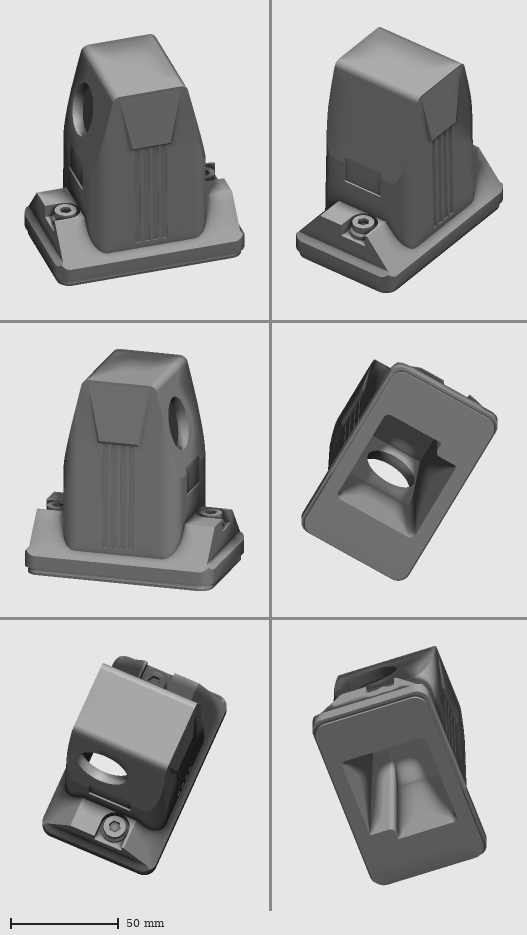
import cadquery as cq
import math

HEIGHT = 96.8
BASE_WIDTH = 57.0
BASE_LENGTH = 92.0

SEAL_HEIGHT = 3.4
SEAL_RIM_HEIGHT = 1.2
SEAL_INSET = 1.2
SEAL_TAPER = 25.0

BASE_TOP_Z = 27.4
BASE_TOP_HALF_WIDTH = 13.6
SLOPE_FOOT_Z = 9.6
CHAMFER_FOOT_Z = 10.0
END_CHAMFER = 2.7
BASE_CORNER_RADIUS = 6.0

HOOD_TOP_HALF_WIDTH = 23.9
SIDE_DRAFT = 1.1
HOOD_HALF_LENGTH = 28.75
LEAN_START_Z = 50.9
LEAN_ANGLE = 13.6
HOOD_CORNER_RADIUS = 7.8
HOOD_TOP_RADIUS = 3.7
WALL = 5.1
CAVITY_CORNER_RADIUS = HOOD_CORNER_RADIUS - WALL

ENTRY_DIAMETER = 25.1
ENTRY_X = -6.0
ENTRY_Z = 73.7

PILLAR_EDGE_X = -8.9
PILLAR_FACE_Y = 17.4
PILLAR_RADIUS = 2.3

LABEL_WIDTH = 21.2
LABEL_BOTTOM_Z = 40.2
LABEL_TOP_Z = 53.5
LABEL_FLOOR_Y = 27.9

GRIP_TOP_Z = 95.5
GRIP_BOTTOM_Z = 66.7
GRIP_TOP_HALF_LENGTH = 15.2
GRIP_BOTTOM_HALF_LENGTH = 10.3
GRIP_DEPTH = 1.5

GROOVE_COUNT = 4
GROOVE_PITCH = 4.3
GROOVE_WIDTH = 2.7
GROOVE_BOTTOM_Z = 16.3
GROOVE_DEPTH = 0.4

SCREW_X = 5.5
SCREW_Y = -35.4
POCKET_FLOOR_Z = 21.3
POCKET_WIDTH = 13.7
WASHER_DIAMETER = 12.2
WASHER_TOP_Z = 24.4
HEAD_DIAMETER = 10.3
WASHER_CHAMFER = (WASHER_DIAMETER - HEAD_DIAMETER) / 2
HEAD_TOP_Z = 27.8
HEX_ACROSS_FLATS = 5.0
HEX_DEPTH = 2.9


def side_x(z):
    """Half-width of the hood at height z."""
    return HOOD_TOP_HALF_WIDTH + (HEIGHT - z) * math.tan(math.radians(SIDE_DRAFT))


def lean_y(z):
    """Half-length of the hood at height z on its leaning part."""
    return HOOD_HALF_LENGTH - (z - LEAN_START_Z) * math.tan(math.radians(LEAN_ANGLE))


def symmetric_prism(plane, half_points, half_depth):
    """Extrude an outline, given by its positive half from bottom to top, to both sides."""
    mirrored = [(-u, v) for u, v in reversed(half_points)]
    return cq.Workplane(plane).polyline(half_points + mirrored).close().extrude(half_depth, both=True)


def make_seal():
    width = BASE_WIDTH - 2 * SEAL_INSET
    length = BASE_LENGTH - 2 * SEAL_INSET
    rim = cq.Workplane().rect(width, length).extrude(SEAL_RIM_HEIGHT)
    rim = rim.edges("|Z").fillet(BASE_CORNER_RADIUS)
    return rim.faces(">Z").wires().toPending().extrude(SEAL_HEIGHT - SEAL_RIM_HEIGHT, taper=SEAL_TAPER)


def make_base():
    block = (
        cq.Workplane()
        .workplane(offset=SEAL_HEIGHT)
        .rect(BASE_WIDTH, BASE_LENGTH)
        .extrude(BASE_TOP_Z - SEAL_HEIGHT)
        .edges("|Z")
        .fillet(BASE_CORNER_RADIUS)
    )
    half_width = BASE_WIDTH / 2
    half_length = BASE_LENGTH / 2
    cross_section = [
        (half_width, SEAL_HEIGHT),
        (half_width, SLOPE_FOOT_Z),
        (BASE_TOP_HALF_WIDTH, BASE_TOP_Z),
    ]
    long_section = [
        (half_length, SEAL_HEIGHT),
        (half_length, CHAMFER_FOOT_Z),
        (half_length - END_CHAMFER, CHAMFER_FOOT_Z + END_CHAMFER),
        (half_length - END_CHAMFER, BASE_TOP_Z),
    ]
    block = block.intersect(symmetric_prism("XZ", cross_section, half_length))
    return block.intersect(symmetric_prism("YZ", long_section, half_width))


def make_hood_form(inset, corner_radius, bottom_z):
    """Hood outline moved inwards by inset, running down to bottom_z."""
    top_z = HEIGHT - inset
    lean_inset = inset / math.cos(math.radians(LEAN_ANGLE))
    knee_z = LEAN_START_Z - inset * math.tan(math.radians(LEAN_ANGLE / 2))
    half_length = HOOD_HALF_LENGTH - inset
    cross_section = [(side_x(bottom_z) - inset, bottom_z), (side_x(top_z) - inset, top_z)]
    form = symmetric_prism("XZ", cross_section, half_length)
    form = form.edges("not(|X or |Y)").fillet(corner_radius)
    long_section = [
        (half_length, bottom_z),
        (half_length, knee_z),
        (lean_y(top_z) - lean_inset, top_z),
    ]
    return form.intersect(symmetric_prism("YZ", long_section, BASE_WIDTH))


def make_hood():
    hood = make_hood_form(0, HOOD_CORNER_RADIUS, SLOPE_FOOT_Z)
    return hood.faces(">Z").edges("|X").fillet(HOOD_TOP_RADIUS)


def make_cavity():
    """Inner space, open at the bottom, less the pillar that stands in it."""
    cavity = make_hood_form(WALL, CAVITY_CORNER_RADIUS, 0)
    pillar = (
        cq.Workplane()
        .moveTo(PILLAR_EDGE_X, PILLAR_FACE_Y)
        .rect(-BASE_WIDTH, BASE_LENGTH, centered=False)
        .extrude(HEIGHT)
        .edges("|Z and >X and <Y")
        .fillet(PILLAR_RADIUS)
    )
    return cavity.cut(pillar)


def make_cable_entry():
    lean = math.radians(LEAN_ANGLE)
    outward = (0, -math.cos(lean), math.sin(lean))
    face = cq.Plane(origin=(ENTRY_X, -lean_y(ENTRY_Z), ENTRY_Z), xDir=(1, 0, 0), normal=outward)
    return cq.Workplane(face).circle(ENTRY_DIAMETER / 2).extrude(-2 * WALL)


def make_label_pocket():
    return (
        cq.Workplane("XZ", origin=(0, -LABEL_FLOOR_Y, 0))
        .center(0, (LABEL_BOTTOM_Z + LABEL_TOP_Z) / 2)
        .rect(LABEL_WIDTH, LABEL_TOP_Z - LABEL_BOTTOM_Z)
        .extrude(WALL)
    )


def side_plane(z):
    """Plane on the +X side of the hood: local X along +Y, local Y up the drafted side."""
    draft = math.radians(SIDE_DRAFT)
    return cq.Plane(origin=(side_x(z), 0, z), xDir=(0, 1, 0), normal=(math.cos(draft), 0, math.sin(draft)))


def make_grip():
    """Bevelled trapezoid on the +X side, flush at its top and proud at its bottom."""
    height = GRIP_TOP_Z - GRIP_BOTTOM_Z
    pad = (
        cq.Workplane(side_plane(GRIP_BOTTOM_Z))
        .polyline(
            [
                (-GRIP_BOTTOM_HALF_LENGTH, 0),
                (GRIP_BOTTOM_HALF_LENGTH, 0),
                (GRIP_TOP_HALF_LENGTH, height),
                (-GRIP_TOP_HALF_LENGTH, height),
            ]
        )
        .close()
        .extrude(GRIP_DEPTH, taper=45)
    )
    wedge = (
        cq.Workplane("XZ")
        .polyline(
            [
                (0, GRIP_BOTTOM_Z),
                (side_x(GRIP_BOTTOM_Z) + GRIP_DEPTH, GRIP_BOTTOM_Z),
                (side_x(GRIP_TOP_Z), GRIP_TOP_Z),
                (0, GRIP_TOP_Z),
            ]
        )
        .close()
        .extrude(GRIP_TOP_HALF_LENGTH, both=True)
    )
    return pad.intersect(wedge)


def make_grooves():
    length = GRIP_BOTTOM_Z - GROOVE_BOTTOM_Z
    return (
        cq.Workplane(side_plane(GROOVE_BOTTOM_Z))
        .center(0, length / 2)
        .rarray(GROOVE_PITCH, 1, GROOVE_COUNT, 1)
        .rect(GROOVE_WIDTH, length)
        .extrude(-GROOVE_DEPTH)
    )


def make_screw_pocket():
    """U-shaped pocket, open towards the -Y end of the base."""
    depth = BASE_TOP_Z - POCKET_FLOOR_Z
    floor = cq.Workplane(origin=(SCREW_X, SCREW_Y, POCKET_FLOOR_Z))
    run_out = BASE_LENGTH / 2 + SCREW_Y
    round_end = floor.circle(POCKET_WIDTH / 2).extrude(depth)
    channel = floor.center(0, -run_out / 2).rect(POCKET_WIDTH, run_out).extrude(depth)
    return round_end.union(channel)


def make_screw():
    floor = cq.Workplane(origin=(SCREW_X, SCREW_Y, POCKET_FLOOR_Z))
    washer = floor.circle(WASHER_DIAMETER / 2).extrude(WASHER_TOP_Z - POCKET_FLOOR_Z)
    washer = washer.faces(">Z").edges().chamfer(WASHER_CHAMFER)
    head = floor.circle(HEAD_DIAMETER / 2).extrude(HEAD_TOP_Z - POCKET_FLOOR_Z)
    across_corners = HEX_ACROSS_FLATS / math.cos(math.radians(30))
    head_top = cq.Workplane(origin=(SCREW_X, SCREW_Y, HEAD_TOP_Z))
    socket = head_top.polygon(6, across_corners).extrude(-HEX_DEPTH)
    return washer.union(head).cut(socket)


def with_half_turn_copy(shape):
    """A shape together with its copy turned half a turn about the Z axis."""
    return shape.union(shape.rotate((0, 0, 0), (0, 0, 1), 180))


base = make_base().cut(with_half_turn_copy(make_screw_pocket()))
hood = make_hood().union(with_half_turn_copy(make_grip()))
hood = hood.cut(with_half_turn_copy(make_grooves())).cut(with_half_turn_copy(make_label_pocket()))

result = make_seal().union(base).union(hood).union(with_half_turn_copy(make_screw()))
result = result.cut(make_cavity()).cut(make_cable_entry())